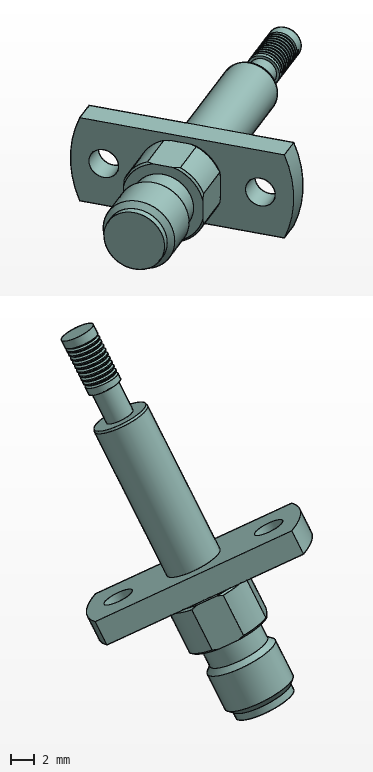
import cadquery as cq

total_length = 36.2

flange_diameter = 20.0
flange_height = 8.0
flange_thickness = 2.28
hole_diameter = 2.65
hole_spacing = 14.0

washer_diameter = 6.05
washer_thickness = 0.25
collar_diameter = 7.67
collar_across_flats = 7.1
collar_length = 4.27
collar_chamfer = 0.18

neck_diameter = 5.43
band_diameter = 6.4
band_taper = (band_diameter - neck_diameter) / 2
band_start = 6.45
band_end = 10.85
plug_length = 11.5

barrel_diameter = 5.0
barrel_end = 16.47
barrel_chamfer_length = 0.2
barrel_chamfer_depth = 0.07

stem_diameter = 2.5
head_diameter = 3.0
head_length = 5.3
head_end = total_length - plug_length
head_start = head_end - head_length

thread_pitch = 0.4
thread_turns = 10
groove_depth = 0.18
groove_width = 0.3
front_land = 0.33
thread_start = head_start + front_land + groove_width / 2
cutter_overlap = 0.05


def disc(diameter, start, end):
    """Cylinder about the Y axis between two Y positions."""
    return cq.Workplane("XZ", origin=(0, start, 0)).circle(diameter / 2).extrude(start - end)


def make_flange():
    """Disc cut to a strip by flat top and bottom sides, with a hole on either side."""
    strip = cq.Workplane("XY").box(
        flange_diameter, flange_thickness, flange_height, centered=(True, False, True)
    )
    flange = disc(flange_diameter, 0, flange_thickness).intersect(strip)
    hole = disc(hole_diameter, 0, flange_thickness)
    for side in (-1, 1):
        flange = flange.cut(hole.translate((side * hole_spacing / 2, 0, 0)))
    return flange


def make_collar():
    """Washer and chamfered collar in front of the flange."""
    washer = disc(washer_diameter, -washer_thickness, 0)
    collar_end = washer_thickness + collar_length
    collar = disc(collar_diameter, -collar_end, -washer_thickness).edges().chamfer(collar_chamfer)
    square_bar = (
        cq.Workplane("XZ", origin=(0, -collar_end, 0))
        .rect(collar_across_flats, collar_across_flats)
        .extrude(-collar_length)
    )
    return washer.union(collar.intersect(square_bar))


def make_plug():
    """Solid of revolution in front of the collar, running back to the flange."""
    neck_radius = neck_diameter / 2
    band_radius = band_diameter / 2
    profile = [
        (0, 0),
        (neck_radius, 0),
        (neck_radius, -band_start),
        (band_radius, -band_start - band_taper),
        (band_radius, -band_end + band_taper),
        (neck_radius, -band_end),
        (neck_radius, -plug_length),
        (0, -plug_length),
    ]
    return cq.Workplane("XY").polyline(profile).close().revolve(360, (0, 0, 0), (0, 1, 0))


def make_barrel():
    barrel = disc(barrel_diameter, 0, barrel_end)
    return barrel.faces(">Y").chamfer(barrel_chamfer_length, barrel_chamfer_depth)


def make_thread_groove():
    """V-shaped helical cutter, made about Z and then laid along Y."""
    head_radius = head_diameter / 2
    outer_radius = head_radius + cutter_overlap
    outer_half_width = groove_width / 2 * (1 + cutter_overlap / groove_depth)
    section = [
        (outer_radius, -outer_half_width),
        (head_radius - groove_depth, 0),
        (outer_radius, outer_half_width),
    ]
    thread_length = thread_turns * thread_pitch
    helix = cq.Wire.makeHelix(thread_pitch, thread_length, head_radius, lefthand=True)
    groove = cq.Workplane("XZ").polyline(section).close().sweep(cq.Workplane(helix), isFrenet=True)
    return groove.rotate((0, 0, 0), (1, 0, 0), -90).translate((0, thread_start, 0))


def make_head():
    return disc(head_diameter, head_start, head_end).cut(make_thread_groove())


result = (
    make_flange()
    .union(make_collar())
    .union(make_plug())
    .union(make_barrel())
    .union(disc(stem_diameter, barrel_end, head_start))
    .union(make_head())
    .solids()
)